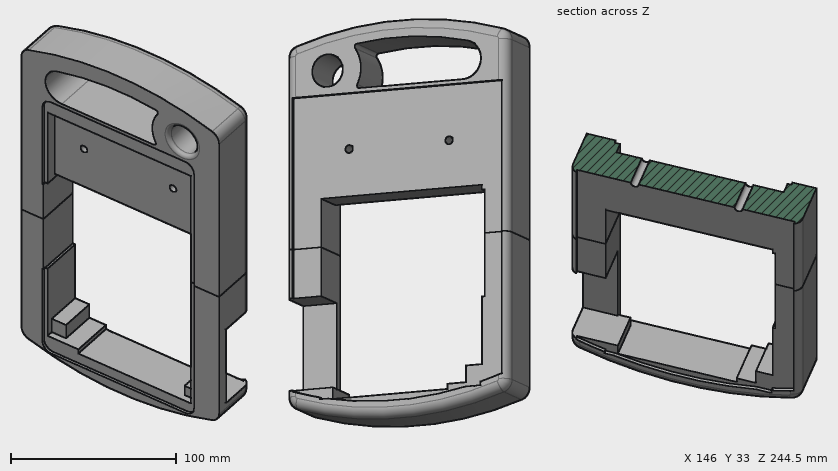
import cadquery as cq
import math


HEIGHT = 244.5
WIDTH = 146.0
DEPTH = 33.0
HALF_HEIGHT = HEIGHT / 2
HALF_WIDTH = WIDTH / 2
END_RADIUS = 222.5
CORNER_RADIUS = 7.5
BACK_FILLET = 6.0
SPLIT_Z = -14.0

RECESS_LEFT = -57.5
RECESS_RIGHT = 54.5
RECESS_TOP = 79.0
RECESS_BOTTOM = -115.2
RECESS_DEPTH = 2.0
RECESS_RADIUS = 6.5

WINDOW_LEFT = -55.0
WINDOW_RIGHT = 50.9
WINDOW_TOP = 68.0
WINDOW_BOTTOM = -107.8

SEAT_DEPTH = 2.2
SEAT_FLOOR = DEPTH - SEAT_DEPTH
SEAT_HALF_WIDTH = 69.0
SEAT_TOP = RECESS_TOP
SEAT_BOTTOM = -112.5

RELIEF_LEFT = -56.7
RELIEF_TOP = 13.0
RELIEF_BOTTOM = -52.8

PLATE_BOTTOM = 16.0
PLATE_FRONT = 9.3
PLATE_HOLE_DIAMETER = 5.0
PLATE_HOLE_SPACING = 65.8
PLATE_HOLE_CENTER_X = -0.5
PLATE_HOLE_Z = 45.0

LANYARD_X = 45.7
LANYARD_Z = 94.0
LANYARD_RADIUS = 10.0
LANYARD_FILLET = 2.7

HANDLE_BOTTOM = 81.5
HANDLE_TOP = 110.8
HANDLE_LEFT = -55.3
HANDLE_LEFT_RADIUS = 12.0
HANDLE_RIGHT_RADIUS = 22.0
HANDLE_CORNER_RADIUS = 1.7

PORT_TOP = -44.0
PORT_BOTTOM = -100.7
PORT_FRONT = 7.3

STEP_RIGHT = -32.3
STEP_TOP = -104.7
BLOCK_FRONT = 6.4
LEFT_BLOCK_RIGHT = -44.5
LEFT_BLOCK_TOP = -94.5
RIGHT_BLOCK_LEFT = 43.0


def box(x_min, x_max, y_min, y_max, z_min, z_max):
    """Axis-aligned block between the given limits."""
    return cq.Workplane("XY").box(
        x_max - x_min, y_max - y_min, z_max - z_min, centered=False
    ).translate((x_min, y_min, z_min))


def extrude_back(sketch, depth):
    """Extrude a sketch on the XZ plane toward +Y."""
    return sketch.extrude(-depth)


def outer_block():
    """Solid block with bowed ends, rounded corners and a rounded back rim."""
    bow = END_RADIUS - math.sqrt(END_RADIUS**2 - HALF_WIDTH**2)
    side_top = HALF_HEIGHT - bow
    outline = (
        cq.Workplane("XZ")
        .moveTo(-HALF_WIDTH, -side_top)
        .lineTo(-HALF_WIDTH, side_top)
        .threePointArc((0, HALF_HEIGHT), (HALF_WIDTH, side_top))
        .lineTo(HALF_WIDTH, -side_top)
        .threePointArc((0, -HALF_HEIGHT), (-HALF_WIDTH, -side_top))
        .close()
    )
    block = extrude_back(outline, DEPTH)
    return block.edges("|Y").fillet(CORNER_RADIUS).faces(">Y").edges().fillet(BACK_FILLET)


def cover_seat():
    """Cutter for the cover seat in the back face: flat top, bowed bottom."""
    bow = END_RADIUS - math.sqrt(END_RADIUS**2 - SEAT_HALF_WIDTH**2)
    outline = (
        cq.Workplane("XZ", origin=(0, SEAT_FLOOR, 0))
        .moveTo(-SEAT_HALF_WIDTH, SEAT_TOP)
        .lineTo(SEAT_HALF_WIDTH, SEAT_TOP)
        .lineTo(SEAT_HALF_WIDTH, SEAT_BOTTOM + bow)
        .threePointArc((0, SEAT_BOTTOM), (-SEAT_HALF_WIDTH, SEAT_BOTTOM + bow))
        .close()
    )
    return extrude_back(outline, SEAT_DEPTH)


def frame():
    """The whole frame with its window, before it is split."""
    recess = (
        box(RECESS_LEFT, RECESS_RIGHT, 0, RECESS_DEPTH, RECESS_BOTTOM, RECESS_TOP)
        .edges("|Y").fillet(RECESS_RADIUS)
    )
    window = box(WINDOW_LEFT, WINDOW_RIGHT, 0, DEPTH, WINDOW_BOTTOM, WINDOW_TOP)
    rim_fill = box(RECESS_LEFT, RELIEF_LEFT, 0, RECESS_DEPTH, RELIEF_BOTTOM, RELIEF_TOP)
    relief = box(RELIEF_LEFT, WINDOW_LEFT, 0, DEPTH, RELIEF_BOTTOM, RELIEF_TOP)
    return outer_block().cut(recess).cut(cover_seat()).cut(window).union(rim_fill).cut(relief)


def handle_slot():
    """Cutter for the handle: bowed top, round left end, concave right end."""
    left_x = HANDLE_LEFT + HANDLE_LEFT_RADIUS
    left_z = HANDLE_BOTTOM + HANDLE_LEFT_RADIUS
    rise = HANDLE_TOP - HANDLE_LEFT_RADIUS - left_z
    top_radius = (left_x**2 + rise**2) / (2 * rise) + HANDLE_LEFT_RADIUS
    top_center_z = HANDLE_TOP - top_radius
    center_gap = top_radius - HANDLE_LEFT_RADIUS
    tangent_x = left_x * top_radius / center_gap
    tangent_z = top_center_z + (left_z - top_center_z) * top_radius / center_gap

    top_right_z = top_center_z + math.sqrt(top_radius**2 - LANYARD_X**2)
    outline = (
        cq.Workplane("XZ")
        .moveTo(left_x, HANDLE_BOTTOM)
        .threePointArc((HANDLE_LEFT, left_z), (tangent_x, tangent_z))
        .threePointArc((0, HANDLE_TOP), (LANYARD_X, top_right_z))
        .lineTo(LANYARD_X, HANDLE_BOTTOM)
        .close()
    )
    lanyard_boss = cq.Workplane("XZ").center(LANYARD_X, LANYARD_Z).circle(HANDLE_RIGHT_RADIUS)
    slot = extrude_back(outline, DEPTH).cut(extrude_back(lanyard_boss, DEPTH))
    right_end = cq.selectors.BoxSelector((0, 0, 0), (LANYARD_X, DEPTH, HALF_HEIGHT))
    return slot.edges("|Y").edges(right_end).fillet(HANDLE_CORNER_RADIUS)


def lanyard_hole():
    """Cutter for the lanyard hole, flaring out to a rounded front rim."""
    profile = (
        cq.Workplane("XY")
        .moveTo(0, 0)
        .lineTo(LANYARD_RADIUS + LANYARD_FILLET, 0)
        .radiusArc((LANYARD_RADIUS, LANYARD_FILLET), LANYARD_FILLET)
        .lineTo(LANYARD_RADIUS, DEPTH)
        .lineTo(0, DEPTH)
        .close()
    )
    return profile.revolve(360, (0, 0, 0), (0, 1, 0)).translate((LANYARD_X, 0, LANYARD_Z))


def mounting_plate():
    """Plate across the top of the window with two screw holes."""
    plate = box(WINDOW_LEFT, WINDOW_RIGHT, PLATE_FRONT, SEAT_FLOOR, PLATE_BOTTOM, WINDOW_TOP)
    holes = (
        cq.Workplane("XZ")
        .center(PLATE_HOLE_CENTER_X, PLATE_HOLE_Z)
        .rarray(PLATE_HOLE_SPACING, 2.5, 2, 1)
        .circle(PLATE_HOLE_DIAMETER / 2)
    )
    return plate.cut(extrude_back(holes, DEPTH))


def upper_frame():
    """Upper half: handle, lanyard hole and mounting plate."""
    half = frame().intersect(box(-HALF_WIDTH, HALF_WIDTH, 0, DEPTH, SPLIT_Z, HALF_HEIGHT))
    return half.cut(handle_slot()).cut(lanyard_hole()).union(mounting_plate())


def lower_frame():
    """Lower half: side port, raised floor and support blocks."""
    half = frame().intersect(box(-HALF_WIDTH, HALF_WIDTH, 0, DEPTH, -HALF_HEIGHT, SPLIT_Z))
    port = box(WINDOW_RIGHT, HALF_WIDTH, PORT_FRONT, DEPTH, PORT_BOTTOM, PORT_TOP)
    step = box(WINDOW_LEFT, STEP_RIGHT, RECESS_DEPTH, SEAT_FLOOR, WINDOW_BOTTOM, STEP_TOP)
    left_block = box(WINDOW_LEFT, LEFT_BLOCK_RIGHT, BLOCK_FRONT, SEAT_FLOOR, STEP_TOP, LEFT_BLOCK_TOP)
    right_block = box(
        RIGHT_BLOCK_LEFT, WINDOW_RIGHT, BLOCK_FRONT, SEAT_FLOOR, WINDOW_BOTTOM, PORT_BOTTOM
    )
    return half.cut(port).union(step).union(left_block).union(right_block)


upper = upper_frame()
lower = lower_frame()

result = cq.Compound.makeCompound([upper.val(), lower.val()])